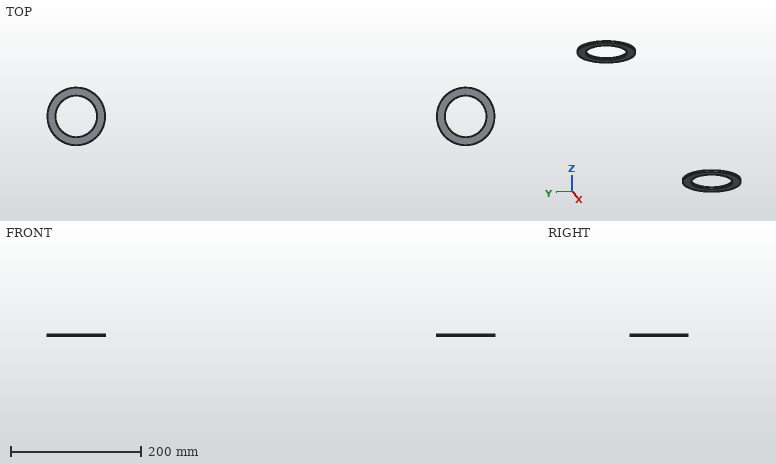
import cadquery as cq

outer_diameter = 88.9
inner_diameter = 63.5
thickness = 3.175
overall_length = 686.68
center_spacing = overall_length - outer_diameter


def make_washer(center_x):
    """Flat ring resting on the XY plane, centred at (center_x, 0)."""
    return (
        cq.Workplane("XY")
        .center(center_x, 0)
        .circle(outer_diameter / 2)
        .circle(inner_diameter / 2)
        .extrude(thickness)
    )


washers = []
for side in (-1, 1):
    washers.append(make_washer(side * center_spacing / 2))

result = cq.Compound.makeCompound([washer.val() for washer in washers])